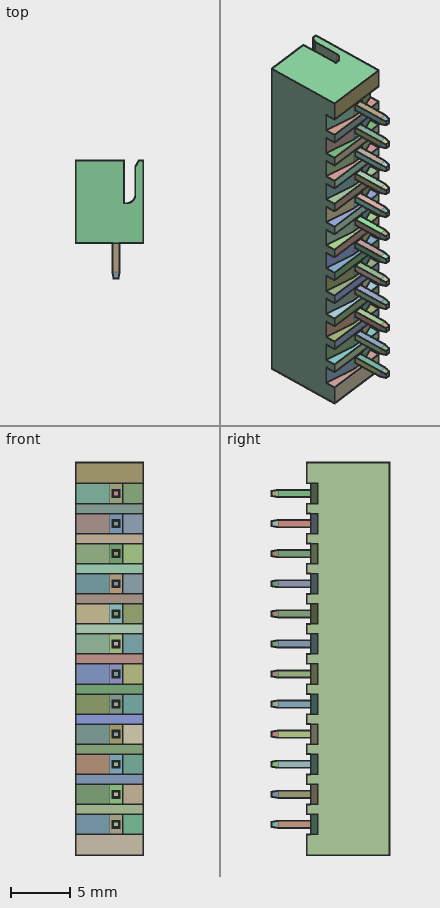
import cadquery as cq

width = 5.75
housing_depth = 7.0
height = 33.2

contact_count = 12
row_length = 27.95
contact_x = 3.42
contact_size = 0.63
contact_reach = 3.0
tip_length = 0.55
tip_size = 0.43

recess_height = 1.7
land_width = 1.13
land_depth = 0.33
edge_depth = 0.93

slot_left = 4.12
slot_right = 5.05
slot_depth = 3.62
slot_root_radius = 0.73
lead_in_width = 0.3
lead_in_depth = 0.53

front_y = contact_reach
back_y = front_y + housing_depth
pitch = row_length / (contact_count - 1)
contact_heights = [i * pitch - row_length / 2 for i in range(contact_count)]


def make_housing():
    """Block with a latch slot running through its full height."""
    slot_floor_y = back_y - slot_depth
    return (
        cq.Workplane("XY", origin=(0, 0, -height / 2))
        .moveTo(0, front_y)
        .lineTo(width, front_y)
        .lineTo(width, back_y)
        .lineTo(slot_right + lead_in_width, back_y)
        .lineTo(slot_right, back_y - lead_in_depth)
        .lineTo(slot_right, slot_floor_y + slot_root_radius)
        .radiusArc((slot_right - slot_root_radius, slot_floor_y), slot_root_radius)
        .lineTo(slot_left, slot_floor_y)
        .lineTo(slot_left, back_y)
        .lineTo(0, back_y)
        .close()
        .extrude(height)
    )


def make_recess(z):
    """Front recess with a flat land at the contact and a slope down to each side."""
    land_y = front_y + land_depth
    return (
        cq.Workplane("XY", origin=(0, 0, z - recess_height / 2))
        .polyline([
            (0, front_y),
            (width, front_y),
            (width, front_y + edge_depth),
            (contact_x + land_width / 2, land_y),
            (contact_x - land_width / 2, land_y),
            (0, front_y + edge_depth),
        ])
        .close()
        .extrude(recess_height)
    )


def make_contact(z):
    """Square pin rooted level with the slot floor, with a tapered tip at the front."""
    root_y = back_y - slot_depth
    shank = (
        cq.Workplane("XZ", origin=(contact_x, root_y, z))
        .rect(contact_size, contact_size)
        .extrude(root_y - tip_length)
    )
    tip = (
        cq.Workplane("XZ", origin=(contact_x, tip_length, z))
        .rect(contact_size, contact_size)
        .workplane(offset=tip_length)
        .rect(tip_size, tip_size)
        .loft(ruled=True)
    )
    return shank.union(tip)


result = make_housing()
for z in contact_heights:
    result = result.cut(make_recess(z))
for z in contact_heights:
    result = result.union(make_contact(z))